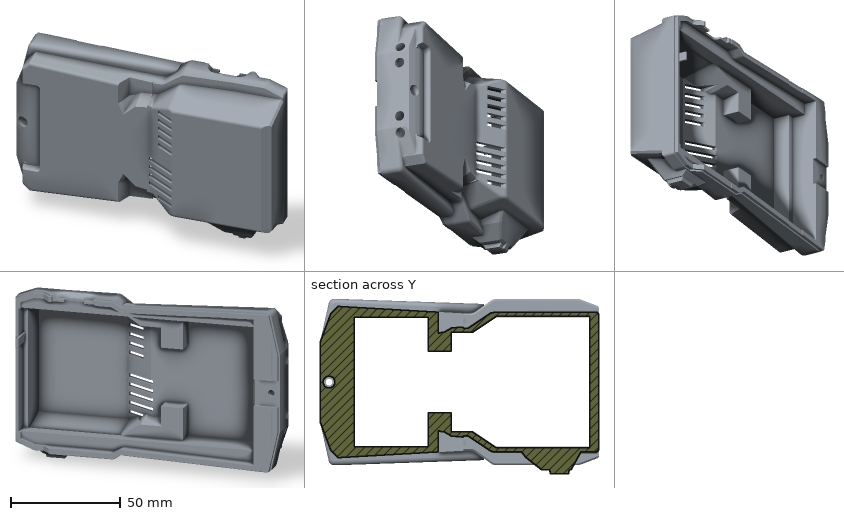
import cadquery as cq

length = 127.5
half_width = 38.0
hump_depth = 31.4
wall = 2.0
total_width = 80.0
reach = 2 * length
overlap = 1.0
margin = 0.1

rim_height = 1.7
rim_inset = 0.7
rim_step = 0.35
rim_start = 3.8
rim_gap = (24.0, 35.8)
rim_end = 85.9
end_drop = (109.7, 113.4, 4.1)
rear_notch_half = 6.25

nose_half = 18.4
tray_corner_x = 4.4
tray_taper_x = 9.0
tray_end = (75.0, 35.7)
tray_depth = (12.5, 8.0)
tray_edge_radius = 2.2
tray_corner_radius = 2.5

front_depth = 22.4
front_x = 4.7
front_side = (34.7, 31.4)
front_corner = 3.5
front_edge_radius = 1.4
waist_x = 65.5

nose_depth = 19.0
nose_bevel = [(0, 15.9), (0.7, 17.3), (front_x, nose_depth)]
nose_back_half = 31.0
nose_end_x = 10.0

collar_start = 52.0
collar_neck_x = 70.0
collar_wide = (79.2, 118.5)
collar_end_half = 34.6
collar_depth = (15.3, 12.3)
collar_bend_x = 103.5
collar_edge = 0.8
collar_fillet = 4.0
collar_tip_radius = 1.2

hump_start = 60.0
hump_neck = (67.7, 25.5)
hump_shoulder = (78.5, 32.7)
hump_base_depth = 12.3
hump_draft = 4.1
ramp = (66.5, 80.3)
hump_end_chamfer = (4.2, 2.4)
hump_edge_radius = 1.5
ramp_end_radius = 4.0
ramp_inset_share = 1 / 3
shoulder_radius = 4.0
hump_end_bevel = 1.0

notch_base = [(54.4, 22.5), (57.0, 23.3), (60.0, 25.0), (66.0, 25.5)]
notch_front = [(51.3, 21.5), (53.7, 16.0), (59.5, 21.5), (67.0, 22.5)]

recess_end = 13.7
recess_half = 23.3
recess_depth = 2.7
recess_radius = 2.2
recess_taper = 25.0
recess_floor_x = 7.3

slot_height = 2.0
slot_pitch = 4.37
slot_first_z = 5.4
slot_right = 80.0
slot_left = 71.6
long_slot_left = 66.1
slots_per_side = 5
long_slots = 4

screw_x = 4.1
screw_diameter = 3.0
screw_head_diameter = 5.2
screw_head_depth = 5.0
tunnel_z = 17.0
tunnel_bend = 4.0
tunnel_diameter = 4.6
tunnel_depth = 13.0

port_x = 98.3
port_width = 20.5
port_depth = 8.1
port_radius = 5.5
port_bevel = 2.0
port_opening = (9.6, 4.7)
port_opening_radius = 1.8

latch_root_z = 29.0
latch_tip_z = total_width - half_width
latch_block_z = 40.2
latch_root_depth = 25.6
latch_tip_depth = 18.2
latch_tip = (105.2, 113.7)
latch_tip_flare = 0.5
latch_outline = [
    (89.8, latch_root_z), (94.0, 34.5), (101.3, latch_block_z), (114.8, latch_block_z), (121.0, latch_root_z),
]
latch_back = [(6.5, 38.3), (9.4, 40.6), (10.0, latch_tip_z)]
latch_rib = (108.0, 111.3)
latch_rib_height = 1.2
latch_bevel = 0.8

tab_x = 124.5
tab_thickness = 1.0
tab_width = 4.0
tab_z = 12.0
tab_top = 0.7

cavity_start = 12.0
side_wall = 3.0


def edge_picker(x_range, depth_range, z_range):
    """Selector for the edges whose centres lie inside the given ranges."""
    (x0, x1), (d0, d1), (z0, z1) = x_range, depth_range, z_range
    return cq.selectors.BoxSelector((x0, -d1, z0), (x1, -d0, z1))


def mirrored(upper):
    """Close an outline of (x, z) points with its mirror image in Z = 0."""
    return upper + [(x, -z) for x, z in reversed(upper)]


def prism(points, depth_from, depth_to):
    """Extrude an XZ outline between two depths."""
    plane = cq.Workplane("XZ", origin=(0, -depth_from, 0))
    return plane.polyline(points).close().extrude(depth_to - depth_from)


def loft(back, near_depth, front, far_depth):
    """Ruled body between two XZ outlines at two depths."""
    plane = cq.Workplane("XZ", origin=(0, -near_depth, 0)).polyline(back).close()
    plane = plane.workplane(offset=far_depth - near_depth).polyline(front).close()
    return plane.loft(ruled=True, combine=True)


def side_profile(points):
    """Slab across the whole width with an outline of (x, depth) points."""
    return cq.Workplane("XY").polyline([(x, -d) for x, d in points]).close().extrude(reach, both=True)


def box(x_range, depth_range, z_range):
    """Axis-aligned box given by its ranges."""
    (x0, x1), (d0, d1), (z0, z1) = x_range, depth_range, z_range
    return cq.Workplane("XY").box(x1 - x0, d1 - d0, z1 - z0, centered=False).translate((x0, -d1, z0))


tray_upper = [(0, nose_half), (tray_corner_x, half_width), (tray_taper_x, half_width), tray_end]
collar_upper = [(collar_wide[0], half_width), (collar_wide[1], half_width), (length, collar_end_half)]
neck_upper = [(collar_start, front_side[1]), (collar_neck_x, front_side[1])]

tray_outline = mirrored(tray_upper)
rim_outline = mirrored(tray_upper + collar_upper)
collar_outline = mirrored(neck_upper + collar_upper)


def back_limit(drop):
    """Everything in front of the open back edge, lowered by drop."""
    start, end, end_depth = end_drop
    return side_profile([
        (-overlap, drop), (start, drop), (end, end_depth + drop), (reach, end_depth + drop),
        (reach, reach), (-overlap, reach),
    ])


def make_tray():
    """Rear tray whose front face slopes up to the right."""
    tray = prism(tray_outline, 0, tray_depth[0])
    tray = tray.intersect(side_profile([
        (0, -overlap), (reach, -overlap), (tray_end[0], tray_depth[1]), (0, tray_depth[0]),
    ]))
    corners = edge_picker((tray_corner_x - margin, tray_corner_x + margin), (0, reach), (-reach, reach))
    tray = tray.edges(corners).edges("|Y").fillet(tray_corner_radius)
    return tray.faces("<Y").edges().fillet(tray_edge_radius)


def make_nose():
    """Solid block at the left end with a bevelled front edge."""
    outline = mirrored([(0, nose_half), (front_x, nose_back_half), (nose_end_x, nose_back_half)])
    block = prism(outline, 0, nose_depth)
    return block.intersect(side_profile(nose_bevel + [(reach, nose_depth), (reach, -overlap), (0, -overlap)]))


def make_front_tray():
    """Flat, narrower tray in front of the rear tray."""
    left, right = front_side
    outline = mirrored([
        (front_x, left - front_corner), (front_x + front_corner, left), (waist_x, right),
    ])
    return prism(outline, 0, front_depth).faces("<Y").edges().fillet(front_edge_radius)


def taper_hump(inset=0.0):
    """Hump block with drafted sides, before its ramp is cut; inset shrinks it for the cavity."""
    neck_x, neck_half = hump_neck
    shoulder_x, shoulder_half = hump_shoulder
    end_x = length - inset
    base = [
        (hump_start, neck_half - inset), (neck_x + inset, neck_half - inset),
        (shoulder_x + inset, shoulder_half - inset), (end_x - hump_end_bevel, shoulder_half - inset),
        (end_x, shoulder_half - inset - hump_end_bevel),
    ]
    front = [(x, z - hump_draft) for x, z in base]
    return loft(mirrored(base), hump_base_depth, mirrored(front), hump_depth - inset)


def ramp_limit(inset=0.0):
    """Everything behind the front tray level, the ramp and the hump front."""
    shift = ramp_inset_share * inset
    return side_profile([
        (0, 0), (length, 0), (length, hump_depth), (ramp[1] + shift, hump_depth - inset),
        (ramp[0] + shift, front_depth - inset), (0, front_depth - inset),
    ])


def make_hump():
    """Hump with its ramp, shoulders, front edges and right end rounded."""
    shoulder_x = hump_shoulder[0]
    shoulders = edge_picker((shoulder_x - margin, shoulder_x + margin), (0, reach), (-reach, reach))
    hump = taper_hump().edges(shoulders).fillet(shoulder_radius)
    run, drop = hump_end_chamfer
    hump = hump.intersect(ramp_limit()).intersect(side_profile([
        (0, 0), (length, 0), (length, hump_depth - drop), (length - run, hump_depth), (0, hump_depth),
    ]))
    ramp_x_range = (ramp[0] - margin, ramp[1] + margin)
    ramp_ends = edge_picker(ramp_x_range, (front_depth - margin, reach), (-margin, margin))
    hump = hump.edges("|Z").edges(ramp_ends).fillet(ramp_end_radius)
    return hump.faces("<Y").edges("|X").fillet(hump_edge_radius)


def make_notch(side):
    """Cutter for one side notch; side is +1 or -1."""
    outlines = []
    for outline in (notch_base, notch_front):
        closed = [(outline[0][0], half_width)] + outline + [(outline[-1][0], half_width)]
        outlines.append([(x, side * z) for x, z in closed])
    return loft(outlines[0], collar_depth[0], outlines[1], front_depth)


def make_collar():
    """Flared flange around the hump, with a kinked front face."""
    collar = prism(collar_outline, 0, collar_depth[0])
    corners = edge_picker((collar_neck_x - margin, length - margin), (0, reach), (-reach, reach))
    collar = collar.edges("|Y").edges(corners).fillet(collar_fillet)
    collar = collar.intersect(side_profile([
        (0, -overlap), (reach, -overlap), (reach, collar_depth[1]), (collar_bend_x, collar_depth[1]),
        (collar_start, collar_depth[0]), (0, collar_depth[0]),
    ]))
    inner = front_side[1] - margin
    for z_range in ((inner, reach), (-reach, -inner)):
        front_edges = edge_picker((collar_start, reach), (collar_depth[1] - margin, reach), z_range)
        collar = collar.edges(front_edges).chamfer(collar_edge)
    return collar.edges("|Y and >X").fillet(collar_tip_radius)


def make_rim():
    """Inset lip around the open back, with its steps and gaps."""
    outline = cq.Workplane("XZ").polyline(rim_outline).close().offset2D(-rim_inset)
    rim = outline.extrude(tray_depth[1] - wall)
    low_spans = [(-overlap, rim_start), rim_gap, (rim_end, reach)]
    for span in low_spans:
        rim = rim.cut(box(span, (-overlap, rim_step), (-half_width, half_width)))
    return rim.intersect(back_limit(0))


def latch_piece(outline, drop=0.0):
    """Part of the latch with an (x, -z) outline, its sloped front lowered by drop."""
    side = [
        (latch_back[0][0], latch_root_z), *latch_back,
        (latch_tip_depth - drop, latch_tip_z), (latch_root_depth - drop, latch_root_z),
    ]
    profile = cq.Workplane("YZ").polyline([(-d, -z) for d, z in side]).close().extrude(reach)
    return prism([(x, -z) for x, z in outline], 0, hump_depth).intersect(profile)


def make_latch():
    """Sloped trapezoid with bevelled front edges and a ribbed tip."""
    block = latch_piece(latch_outline)
    bevelled = edge_picker(
        (0, reach), (latch_tip_depth, latch_root_depth - margin), (-reach, -latch_root_z - margin),
    )
    block = block.edges(bevelled).chamfer(latch_bevel)
    x0, x1 = latch_tip
    tip = latch_piece([
        (x0 - latch_tip_flare, latch_block_z - overlap), (x0, latch_tip_z),
        (x1, latch_tip_z), (x1 + latch_tip_flare, latch_block_z - overlap),
    ], latch_rib_height)
    x0, x1 = latch_rib
    rib = latch_piece([
        (x0, latch_root_z), (x0, latch_tip_z), (x1, latch_tip_z), (x1, latch_root_z),
    ])
    return block.union(tip).union(rib)


def make_cavity():
    """Inside of the housing, open to the back."""
    outline = cq.Workplane("XZ").polyline(rim_outline).close().offset2D(-side_wall)
    upper = outline.extrude(tray_depth[1] - wall)
    upper = upper.intersect(box((cavity_start, length), (-overlap, hump_depth), (-half_width, half_width)))
    inner_half = front_side[1] - wall
    inner_depth = front_depth - wall
    middle = box((cavity_start, length - wall), (0, hump_base_depth), (-inner_half, inner_half))
    front_end = notch_front[0][0] - wall
    front = box((recess_end + wall, front_end), (0, inner_depth), (-inner_half, inner_half))
    waist_half = notch_front[1][1] - wall
    waist = box((front_end - overlap, waist_x), (0, inner_depth), (-waist_half, waist_half))
    hump = taper_hump(wall).intersect(ramp_limit(wall))
    hump = hump.intersect(box((0, length - hump_end_chamfer[0]), (0, reach), (-reach, reach)))
    return upper.union(middle).union(front).union(waist).union(hump)


def make_recess():
    """Tapered recess open to the left end, with a sloped floor next to the nose."""
    plane = cq.Workplane("XZ", origin=(0, -front_depth, 0))
    recess = plane.rect(2 * recess_end, 2 * recess_half).extrude(-recess_depth, taper=recess_taper)
    recess = recess.edges("not (|X or |Z)").fillet(recess_radius)
    slope = side_profile([
        (0, nose_depth), (front_x, nose_depth), (recess_floor_x, front_depth - recess_depth),
        (recess_floor_x, front_depth), (0, front_depth),
    ])
    floor_half = recess_half - recess_radius
    return recess.union(slope.intersect(box((0, length), (0, hump_depth), (-floor_half, floor_half))))


def make_slots():
    """Vent slots in the ramp; some on the -Z side are longer."""
    slots = cq.Workplane("XY")
    for side in (1, -1):
        for index in range(slots_per_side):
            z = side * (slot_first_z + index * slot_pitch)
            is_long = side < 0 and index < long_slots
            left = long_slot_left if is_long else slot_left
            z_range = (z - slot_height / 2, z + slot_height / 2)
            slots = slots.union(box((left, slot_right), (0, hump_depth + overlap), z_range))
    return slots


def make_screw_hole():
    """Through hole with a wider front part."""
    plane = cq.Workplane("XZ").center(screw_x, 0)
    hole = plane.circle(screw_diameter / 2).extrude(hump_depth)
    head = plane.workplane(offset=nose_depth - screw_head_depth)
    return hole.union(head.circle(screw_head_diameter / 2).extrude(hump_depth))


def make_tunnel(side):
    """Ring-shaped strap tunnel around one corner of the nose."""
    center = cq.Vector(0, -tunnel_depth, side * tunnel_z)
    ring = cq.Solid.makeTorus(tunnel_bend, tunnel_diameter / 2, center, cq.Vector(0, 1, 0))
    return cq.Workplane(ring)


def port_section(z, inset):
    """Rounded section of the port at height z, reaching past the open back."""
    width = port_width - 2 * inset
    height = 2 * (port_depth - inset)
    sketch = cq.Sketch().rect(width, height).vertices().fillet(port_radius - inset)
    return sketch.moved(cq.Location(cq.Vector(port_x, 0, z)))


def make_port():
    """Bevelled recess with an opening through its floor and a break in the rim behind it."""
    sections = (port_section(half_width - port_bevel, port_bevel), port_section(half_width, 0))
    bevel = cq.Workplane("XY").placeSketch(*sections).loft()
    z_range = (half_width - 2 * side_wall, half_width)
    width, depth = port_opening
    opening = box((port_x - width / 2, port_x + width / 2), (-overlap, depth), z_range)
    opening = opening.edges("|Z and <Y").fillet(port_opening_radius)
    half = port_width / 2
    rim_break = box((port_x - half, port_x + half), (-overlap, rim_height), z_range)
    return bevel.union(opening).union(rim_break)


def make_tab():
    """Upright tab against the right end wall."""
    return box((tab_x, tab_x + tab_thickness), (tab_top, hump_base_depth), (tab_z, tab_z + tab_width))


front_body = make_front_tray().union(make_hump())
for side in (1, -1):
    front_body = front_body.cut(make_notch(side))

body = make_tray().union(make_nose()).union(front_body).union(make_collar()).union(make_latch())
body = body.intersect(back_limit(rim_height)).union(make_rim())
body = body.cut(make_cavity()).cut(make_recess()).cut(make_slots()).cut(make_screw_hole()).cut(make_port())
body = body.cut(box((-overlap, cavity_start), (-overlap, rim_height), (-rear_notch_half, rear_notch_half)))
for side in (1, -1):
    body = body.cut(make_tunnel(side))

result = body.union(make_tab())